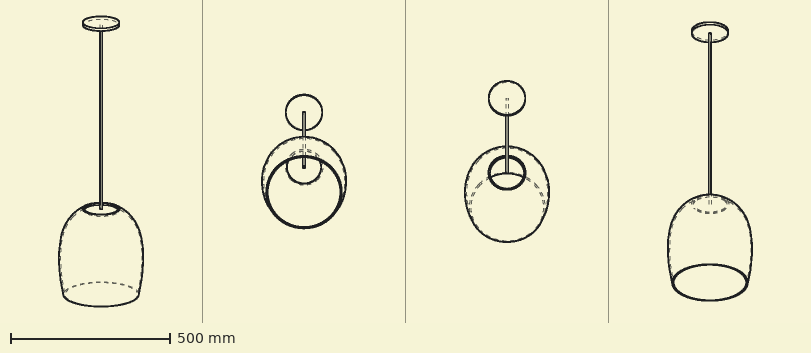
import cadquery as cq

total_height = 903.12
shade_height = 284.0
waist_height = 62.0
belly_height = 121.0
shoulder_height = 211.0

rim_radius = 118.8
waist_radius = 129.2
belly_radius = 132.7
shoulder_radius = 120.0
opening_radius = 58.5

wall = 5.0
bore_depth = 6.0

canopy_radius = 57.4
canopy_thickness = 9.5
cord_radius = 4.0


def bell(inset, top_height):
    """Solid bell: the shade's outer profile moved inward by inset and ending at top_height."""
    return (
        cq.Workplane("XZ")
        .lineTo(rim_radius - inset, 0)
        .spline(
            [
                (waist_radius - inset, waist_height),
                (belly_radius - inset, belly_height),
                (shoulder_radius - inset, shoulder_height),
                (opening_radius - inset, top_height),
            ],
            includeCurrent=True,
        )
        .lineTo(0, top_height)
        .close()
        .revolve(360, (0, 0, 0), (0, 1, 0))
    )


def disc(radius, bottom, top):
    """Upright cylinder on the Z axis between two heights."""
    return cq.Workplane("XY").workplane(offset=bottom).circle(radius).extrude(top - bottom)


bore_bottom = shade_height - bore_depth
shade = (
    bell(0, shade_height)
    .cut(bell(wall, bore_bottom))
    .cut(disc(opening_radius - wall, bore_bottom, shade_height))
)

canopy_bottom = total_height - canopy_thickness
canopy = disc(canopy_radius, canopy_bottom, total_height)

cord = disc(cord_radius, shade_height, canopy_bottom)

result = cq.Compound.makeCompound([shade.val(), canopy.val(), cord.val()])